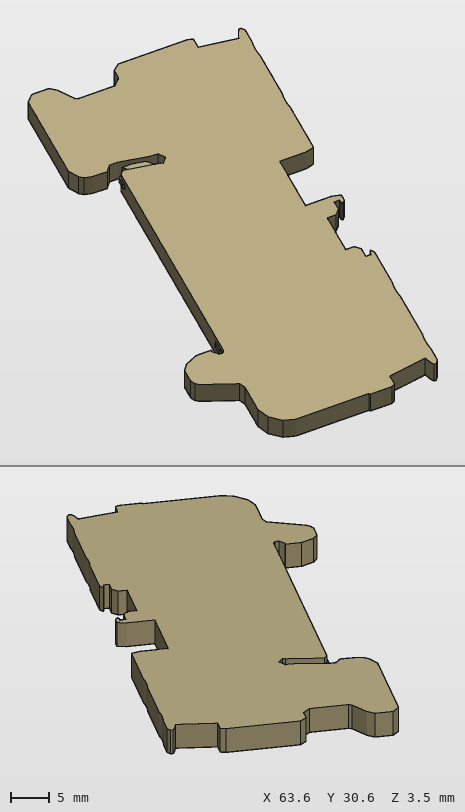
import cadquery as cq

LENGTH = 63.6
WIDTH = 30.6
THICKNESS = 3.5

RAIL_SEAT_Y = 6.0
SHOULDER_Y = 23.85
LIP_Y = 29.25
MARKER_FLOOR_Y = 27.35
NOTCH_FLOOR_Y = 25.6
DRAFT_Y = 29.4
HOOK_TIP_Y = 30.2
HOOK_ROOT_Y = 30.0
SLOT_MOUTH_Y = 6.4

STRIP_BOTTOM = 1.8
STRIP_TOP = 2.6
STRIP_PROUD_Y = RAIL_SEAT_Y - 0.2
STRIP_ROOT_Y = RAIL_SEAT_Y + 0.6

DIP_CHORD = 2.55
DIP_DEPTH = 0.1
DIP_CENTERS = (5.0, 14.5)

HEAD_END = [
    (1.7, SHOULDER_Y),
    (2.55, LIP_Y),
    (1.5, 29.65),
    (1.15, 29.9),
    (1.15, 30.2),
    (1.65, WIDTH),
]

NOTCH_AND_POST = [
    (23.1, WIDTH),
    (23.4, DRAFT_Y),
    (23.4, NOTCH_FLOOR_Y),
    (31.5, NOTCH_FLOOR_Y),
    (31.5, DRAFT_Y),
    (31.8, WIDTH),
]

MARKER_RECESS = [
    (32.75, WIDTH),
    (33.15, HOOK_TIP_Y),
    (32.9, HOOK_ROOT_Y),
    (32.5, HOOK_ROOT_Y),
    (32.5, LIP_Y),
    (33.85, LIP_Y),
    (34.55, 28.55),
    (34.55, MARKER_FLOOR_Y),
    (40.3, MARKER_FLOOR_Y),
    (40.3, 28.55),
    (41.0, LIP_Y),
    (42.4, LIP_Y),
    (42.4, HOOK_ROOT_Y),
    (42.05, HOOK_ROOT_Y),
    (41.7, HOOK_TIP_Y),
    (42.2, WIDTH),
]

RIGHT_END = [
    (63.35, SHOULDER_Y),
    (LENGTH, 23.4),
    (LENGTH, 20.3),
    (63.4, 20.15),
    (63.4, 9.8),
    (62.9, 8.2),
    (61.55, 6.7),
    (59.9, RAIL_SEAT_Y),
]

RIGHT_FOOT = [
    (55.85, RAIL_SEAT_Y),
    (55.0, 5.6),
    (53.0, 0.75),
    (52.6, 0.3),
    (51.95, 0.0),
    (50.05, 0.0),
    (49.2, 0.65),
    (48.4, 2.4),
    (48.4, 4.6),
    (48.7, 4.6),
    (49.4, 5.2),
    (49.4, 5.7),
    (49.1, RAIL_SEAT_Y),
]

SLOT = [
    (16.9, RAIL_SEAT_Y),
    (16.4, SLOT_MOUTH_Y),
    (17.3, 11.45),
    (17.5, 11.75),
    (16.65, 12.4),
    (15.8, 11.75),
    (15.7, 10.6),
    (14.9, SLOT_MOUTH_Y),
]

LEFT_FOOT = [
    (14.9, 5.3),
    (15.45, 4.8),
    (15.8, 4.6),
    (15.7, 2.4),
    (15.45, 1.4),
    (15.0, 0.8),
    (13.6, 0.0),
    (0.95, 0.0),
    (0.0, 0.95),
    (0.0, 3.4),
    (0.7, 4.25),
    (2.9, 5.8),
    (3.1, 6.2),
]

LEFT_END = [
    (3.1, 11.4),
    (2.15, 12.35),
    (0.75, 12.35),
    (0.0, 13.2),
    (0.0, 23.15),
    (0.25, SHOULDER_Y),
]

STRIP_BRIDGE = [
    (15.25, 6.9),
    (17.05, 8.5),
    (17.7, 11.95),
    (15.25, 9.85),
]
STRIP_CORNER = [
    (16.2, STRIP_ROOT_Y),
    (16.65, STRIP_PROUD_Y),
    (17.9, STRIP_PROUD_Y),
    (18.1, RAIL_SEAT_Y),
    (18.1, STRIP_ROOT_Y),
]
STRIP_CONTACT = [
    (46.6, RAIL_SEAT_Y),
    (46.95, STRIP_PROUD_Y),
    (48.15, STRIP_PROUD_Y),
    (48.45, RAIL_SEAT_Y),
    (48.45, STRIP_ROOT_Y),
    (46.6, STRIP_ROOT_Y),
]


def mirrored(points):
    """Reflect an outline stretch about the middle of the length, keeping its direction of travel."""
    return [(LENGTH - x, y) for x, y in reversed(points)]


def make_plate():
    outline = (
        HEAD_END + NOTCH_AND_POST + MARKER_RECESS + mirrored(HEAD_END)
        + RIGHT_END + RIGHT_FOOT + SLOT + LEFT_FOOT + LEFT_END
    )
    return cq.Workplane("XY").polyline(outline).close().extrude(THICKNESS)


def make_dip(center_x):
    return (
        cq.Workplane("XY")
        .moveTo(center_x - DIP_CHORD / 2, WIDTH)
        .threePointArc((center_x, WIDTH - DIP_DEPTH), (center_x + DIP_CHORD / 2, WIDTH))
        .close()
        .extrude(THICKNESS)
    )


def make_strip_piece(points):
    return (
        cq.Workplane("XY", origin=(0, 0, STRIP_BOTTOM))
        .polyline(points)
        .close()
        .extrude(STRIP_TOP - STRIP_BOTTOM)
    )


result = make_plate()

for dip_x in DIP_CENTERS:
    result = result.cut(make_dip(dip_x))
    result = result.cut(make_dip(LENGTH - dip_x))

for piece in (STRIP_BRIDGE, STRIP_CORNER, STRIP_CONTACT):
    result = result.union(make_strip_piece(piece))